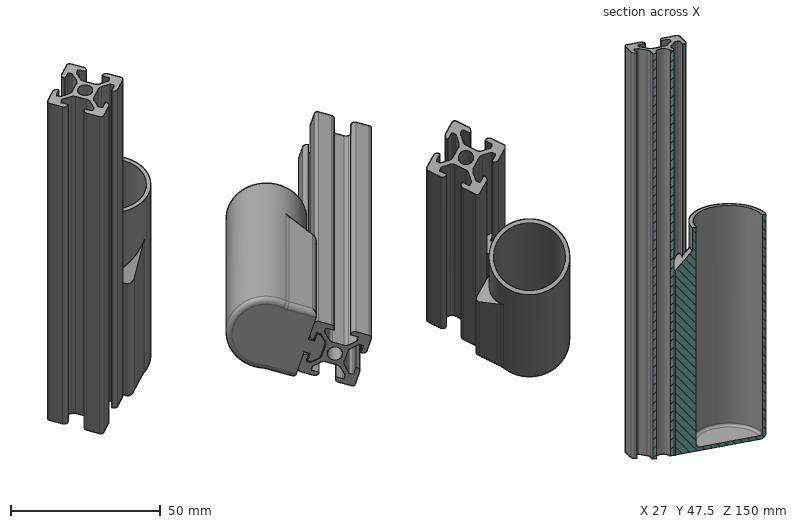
import cadquery as cq
import math

rail_width = 20.0
rail_length = 150.0
rail_corner_fillet = 1.1
rail_bore_dia = 5.0
slot_opening = 5.8
slot_mouth_fillet = 1.4
slot_inner_width = 11.4
lip_thickness = 1.7
core_width = 7.8
web_thickness = 1.5
slot_root_fillet = 2.0
slot_corner_fillet = 0.4

cup_outer_dia = 27.0
cup_inner_dia = 24.0
cup_height = 83.0
cup_rail_gap = 0.5
floor_thickness = 1.5
floor_inner_fillet = 1.0
base_fillet = 2.0

block_width = 26.2
block_corner_fillet = 2.0
block_blend_radius = 5.0
block_front_height = 53.0

tongue_clearance = 0.4
tongue_flank_clearance = 0.2
tongue_top_height = 74.0
ramp_angle = 45.0

rail_half = rail_width / 2
cup_radius = cup_outer_dia / 2
cup_y = rail_half + cup_rail_gap + cup_radius
block_half = block_width / 2
ramp_slope = math.tan(math.radians(ramp_angle))
web_offset = web_thickness / math.sqrt(2)


def mirrored_outline(right_side):
    """Close an outline that is symmetric about the Y axis from its right half."""
    left_side = [(-x, y) for x, y in reversed(right_side)]
    return cq.Workplane("XY").polyline(right_side + left_side).close()


def slot_cutter():
    """T-shaped slot on the +Y side of the rail."""
    core_half = core_width / 2
    inner_half = slot_inner_width / 2
    mouth_half = slot_opening / 2
    right_side = [
        (core_half - web_offset, core_half),
        (inner_half, inner_half + web_offset),
        (inner_half, rail_half - lip_thickness),
        (mouth_half, rail_half - lip_thickness),
        (mouth_half, rail_half),
    ]
    slot = mirrored_outline(right_side).extrude(rail_length)
    slot = slot.edges("|Z and <Y").fillet(slot_root_fillet)
    slot = slot.edges("|Z and (<X or >X)").fillet(slot_corner_fillet)
    return slot


def slot_mouth():
    """Flared mouth of the +Y slot, rounding over both lip edges."""
    mouth_half = slot_opening / 2
    radius = slot_mouth_fillet
    lip_side = mouth_half + radius
    flare = (
        cq.Workplane("XY")
        .moveTo(lip_side, rail_half)
        .radiusArc((mouth_half, rail_half - radius), -radius)
        .lineTo(-mouth_half, rail_half - radius)
        .radiusArc((-lip_side, rail_half), -radius)
        .close()
    )
    return flare.extrude(rail_length)


def make_rail():
    body = (
        cq.Workplane("XY")
        .rect(rail_width, rail_width)
        .extrude(rail_length)
        .edges("|Z")
        .fillet(rail_corner_fillet)
    )
    slot = slot_cutter().union(slot_mouth())
    for quarter in range(4):
        body = body.cut(slot.rotate((0, 0, 0), (0, 0, 1), 90 * quarter))
    bore = cq.Workplane("XY").circle(rail_bore_dia / 2).extrude(rail_length)
    return body.cut(bore)


def ramp_cutter(face_height):
    """Everything above a ramp that meets the rail face (Y = rail_half) at face_height."""
    reach = 2 * cup_outer_dia
    rise = reach * ramp_slope
    top = cup_height + rise
    return (
        cq.Workplane("YZ")
        .polyline(
            [
                (rail_half - reach, face_height - rise),
                (rail_half + reach, face_height + rise),
                (rail_half + reach, top),
                (rail_half - reach, top),
            ]
        )
        .close()
        .extrude(cup_radius, both=True)
    )


def cup_shell():
    return (
        cq.Workplane("XY")
        .center(0, cup_y)
        .circle(cup_radius)
        .extrude(cup_height)
        .faces("<Z")
        .edges()
        .fillet(base_fillet)
    )


def cup_cavity():
    return (
        cq.Workplane("XY", origin=(0, cup_y, floor_thickness))
        .circle(cup_inner_dia / 2)
        .extrude(cup_height - floor_thickness)
        .faces("<Z")
        .edges()
        .fillet(floor_inner_fillet)
    )


def block_corner_slivers():
    """Material outside the rounded upright corners next to the rail."""
    square = (
        cq.Workplane("XY", origin=(0, rail_half + block_half, 0))
        .rect(block_width, block_width)
        .extrude(cup_height)
    )
    rounded = square.edges("|Z and <Y").fillet(block_corner_fillet)
    return square.cut(rounded)


def mounting_block():
    """Block that blends into the cup wall, up to the ramp."""
    depth = cup_y - rail_half
    cup_core = cq.Workplane("XY").center(0, cup_y).circle(cup_radius).extrude(cup_height)
    block = (
        cq.Workplane("XY", origin=(0, rail_half, 0))
        .box(block_width, depth, cup_height, centered=(True, False, False))
        .union(cup_core)
    )
    seam_y = cup_y - math.sqrt(cup_radius**2 - block_half**2)
    for side in (-1, 1):
        seam = cq.selectors.NearestToPointSelector((side * block_half, seam_y, cup_height / 2))
        block = block.edges("|Z").edges(seam).fillet(block_blend_radius)
    block = block.faces("<Z").edges("not <Y").fillet(base_fillet)
    return block.cut(block_corner_slivers()).cut(ramp_cutter(block_front_height))


def slot_tongue():
    inner_half = slot_inner_width / 2 - tongue_clearance
    neck_half = slot_opening / 2 - tongue_clearance
    tip = core_width / 2 + tongue_clearance
    shoulder = rail_half - lip_thickness - tongue_clearance
    flank_offset = web_offset + tongue_flank_clearance * math.sqrt(2)
    right_side = [
        (tip - flank_offset, tip),
        (inner_half, inner_half + flank_offset),
        (inner_half, shoulder),
        (neck_half, shoulder),
        (neck_half, cup_y),
    ]
    tongue = mirrored_outline(right_side).extrude(cup_height)
    return tongue.cut(ramp_cutter(tongue_top_height))


def make_cup():
    body = cup_shell().union(mounting_block()).union(slot_tongue())
    return body.cut(cup_cavity())


rail = make_rail()
cup = make_cup()

result = cq.Compound.makeCompound([rail.solids().val(), cup.solids().val()])